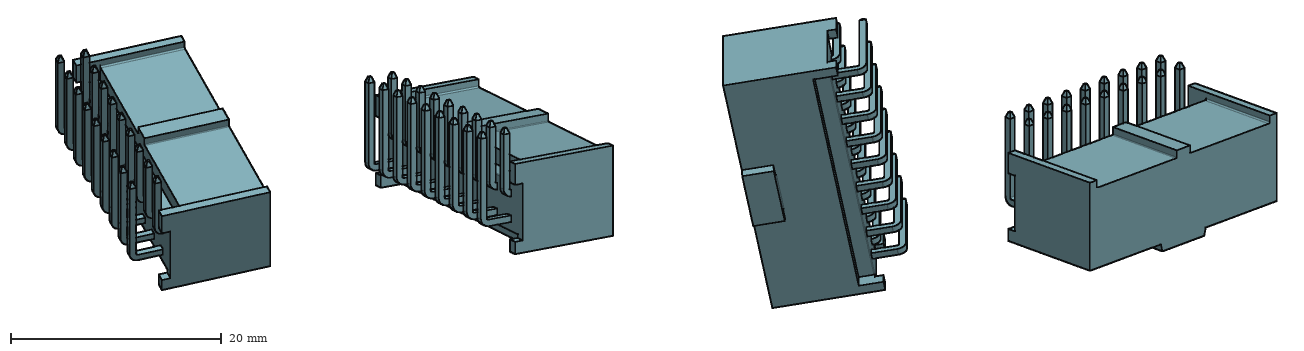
import cadquery as cq


housing_length = 25.2
housing_height = 9.0
back_face = 10.05
end_plate_thickness = 0.93
end_plate_depth = 10.9
plate_notch_bottom = 1.23
plate_notch_top = 6.9
top_drop = 0.78
rib_width = 1.8
inner_length = housing_length - 2 * end_plate_thickness

ledge_start = 8.52
upper_ledge_height = 6.6
lower_ledge_height = 1.55

plate_foot_radius = 0.15
rib_foot_radius = 0.08
ledge_edge_radius = 0.08

tab_depth = 3.05
tab_height = 0.78
tab_root_width = 6.05
tab_tip_width = 5.65
tab_foot_radius = 0.08
tab_foot_width = 3.88

pin_rows = 2
pins_per_row = 9
row_length = 20.3
pitch = row_length / (pins_per_row - 1)
pin_width = 0.65
tip_height = 0.53
tip_width = 0.25
inner_bend_radius = 0.2
outer_bend_radius = inner_bend_radius + pin_width
pin_top = 11.87
outer_pin_back = 13.4
outer_pin_bottom = 2.5
pin_embed = 1.25


def box(x_size, y_front, y_back, z_bottom, z_top):
    """Box centred on X, spanning two distances behind the mating face and two heights."""
    block = cq.Workplane("XY").box(x_size, y_back - y_front, z_top - z_bottom, centered=(True, False, False))
    return block.translate((0, -y_back, z_bottom))


def foot_fillet(radius, length):
    """Concave fillet strip filling the corner between +X and +Z, running from Y = 0 towards -Y."""
    profile = cq.Workplane("XZ").lineTo(radius, 0).radiusArc((0, radius), radius).close()
    return profile.extrude(length)


def make_end_plate(side):
    plate = box(end_plate_thickness, 0, end_plate_depth, 0, housing_height)
    notch = box(end_plate_thickness, back_face, end_plate_depth, plate_notch_bottom, plate_notch_top)
    return plate.cut(notch).translate((side * (housing_length - end_plate_thickness) / 2, 0, 0))


def make_housing():
    roof = housing_height - top_drop
    body = box(inner_length, 0, back_face, 0, roof)
    body = body.union(box(rib_width, 0, ledge_start, roof, housing_height))
    body = body.cut(box(inner_length, ledge_start, back_face, upper_ledge_height, roof))
    body = body.cut(box(inner_length, ledge_start, back_face, 0, lower_ledge_height))
    back_edges = cq.selectors.BoxSelector(
        (-housing_length, -back_face - ledge_edge_radius, lower_ledge_height - ledge_edge_radius),
        (housing_length, -back_face + ledge_edge_radius, upper_ledge_height + ledge_edge_radius),
    )
    body = body.edges("|X").edges(back_edges).fillet(ledge_edge_radius)

    rib_foot = foot_fillet(rib_foot_radius, ledge_start).translate((rib_width / 2, 0, roof))
    plate_foot = foot_fillet(plate_foot_radius, ledge_start).translate((-inner_length / 2, 0, roof))
    for foot in (rib_foot, plate_foot):
        body = body.union(foot).union(foot.mirror("YZ"))
    for side in (-1, 1):
        body = body.union(make_end_plate(side))
    return body


def make_tab():
    half_root = tab_root_width / 2
    half_tip = tab_tip_width / 2
    outline = [(-half_root, 0), (half_root, 0), (half_tip, -tab_height), (-half_tip, -tab_height)]
    tab = cq.Workplane("XZ").polyline(outline).close().extrude(tab_depth)
    foot = (
        cq.Workplane("YZ", origin=(-tab_foot_width / 2, -tab_depth, 0))
        .lineTo(-tab_foot_radius, 0)
        .radiusArc((0, -tab_foot_radius), tab_foot_radius)
        .close()
        .extrude(tab_foot_width)
    )
    return tab.union(foot)


def make_pin(back, bottom):
    """Bent square pin at X = 0 whose outer corner touches the given back distance and bottom height."""
    shoulder = pin_top - tip_height
    leg = box(pin_width, back_face - pin_embed, back, bottom, bottom + pin_width)
    post = box(pin_width, back - pin_width, back, bottom, shoulder)
    outer_corner = cq.selectors.NearestToPointSelector((0, -back, bottom))
    inner_corner = cq.selectors.NearestToPointSelector((0, pin_width - back, bottom + pin_width))
    pin = leg.union(post).edges(outer_corner).fillet(outer_bend_radius)
    pin = pin.edges("|X").edges(inner_corner).fillet(inner_bend_radius)
    tip = (
        cq.Workplane("XY", origin=(0, pin_width / 2 - back, shoulder))
        .rect(pin_width, pin_width)
        .workplane(offset=tip_height)
        .rect(tip_width, tip_width)
        .loft(ruled=True)
    )
    return pin.union(tip)


result = make_housing().union(make_tab())
for row in range(pin_rows):
    pin = make_pin(outer_pin_back - row * pitch, outer_pin_bottom + row * pitch)
    for column in range(pins_per_row):
        result = result.union(pin.translate((column * pitch - row_length / 2, 0, 0)))